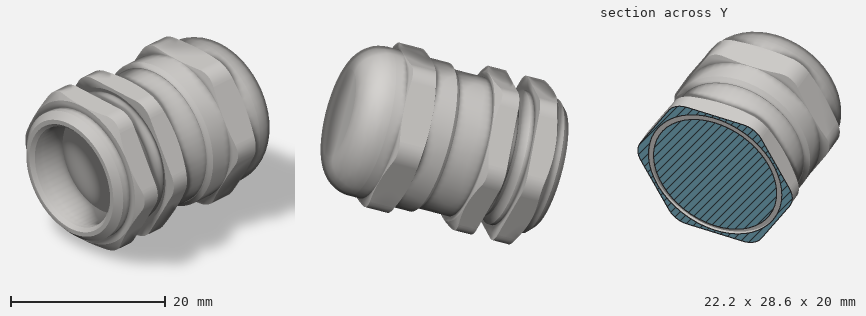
import cadquery as cq
import math

TOTAL_LENGTH = 28.65

HEX_ACROSS_FLATS = 20.0
HEX_CORNER_RADIUS = 3.0
HEX_FACE_DIAMETER = 19.9
LOCKNUT_START = 2.1
COLLAR_START = 8.0
NUT_THICKNESS = 3.0
CAP_HEX_START = 19.15
CAP_HEX_THICKNESS = 4.0
NUT_CHAMFER_ANGLE = 30.0
CAP_CHAMFER_ANGLE = 20.0

THREAD_RADIUS = 18.0 / 2
END_FACE_RADIUS = 16.2 / 2
END_CHAMFER = THREAD_RADIUS - END_FACE_RADIUS
GROOVE_DEPTH = END_CHAMFER
GROOVE_RADIUS = THREAD_RADIUS - GROOVE_DEPTH
GROOVE_CONE_START = 5.62
GROOVE_FLOOR_START = GROOVE_CONE_START + GROOVE_DEPTH
SEAL_START = 6.95
SEAL_END = SEAL_START + 2 * GROOVE_DEPTH
RECESS_RADIUS = 9.5

BODY_RADIUS = 18.6 / 2
CAP_RADIUS = 19.9 / 2
CAP_START = 15.59
CAP_CHAMFER = 0.57
DOME_RADIUS = 4.0

BORE_RADIUS = 14.0 / 2
BORE_DEPTH = 5.5
BORE_CHAMFER = 0.5


def turned_body():
    """Revolve the half-section of all round portions about the Y axis."""
    dome_start = TOTAL_LENGTH - DOME_RADIUS
    dome_arc = DOME_RADIUS * math.sqrt(0.5)
    section = (
        cq.Workplane("XY")
        .lineTo(END_FACE_RADIUS, 0)
        .lineTo(THREAD_RADIUS, END_CHAMFER)
        .lineTo(THREAD_RADIUS, GROOVE_CONE_START)
        .lineTo(GROOVE_RADIUS, GROOVE_FLOOR_START)
        .lineTo(GROOVE_RADIUS, SEAL_START)
        .threePointArc((THREAD_RADIUS, SEAL_START + GROOVE_DEPTH), (GROOVE_RADIUS, SEAL_END))
        .lineTo(BODY_RADIUS, SEAL_END)
        .lineTo(BODY_RADIUS, CAP_START)
        .lineTo(CAP_RADIUS - CAP_CHAMFER, CAP_START)
        .lineTo(CAP_RADIUS, CAP_START + CAP_CHAMFER)
        .lineTo(CAP_RADIUS, dome_start)
        .threePointArc(
            (CAP_RADIUS - DOME_RADIUS + dome_arc, dome_start + dome_arc),
            (CAP_RADIUS - DOME_RADIUS, TOTAL_LENGTH),
        )
        .lineTo(0, TOTAL_LENGTH)
        .close()
    )
    return section.revolve(360, (0, 0, 0), (0, 1, 0))


def hexagon(start, thickness, chamfer_angle, chamfer_start=False, chamfer_end=False):
    """Rounded hexagon with flats facing +/-Z and conical chamfers on the chosen faces."""
    across_corners = HEX_ACROSS_FLATS / math.cos(math.radians(30))
    prism = (
        cq.Workplane("XZ", origin=(0, start, 0))
        .polygon(6, across_corners)
        .extrude(-thickness)
        .edges("|Y")
        .fillet(HEX_CORNER_RADIUS)
    )
    outer_radius = across_corners / 2
    face_radius = HEX_FACE_DIAMETER / 2
    drop = (outer_radius - face_radius) * math.tan(math.radians(chamfer_angle))
    end = start + thickness
    envelope = cq.Workplane("XY").moveTo(0, start)
    if chamfer_start:
        envelope = envelope.lineTo(face_radius, start).lineTo(outer_radius, start + drop)
    else:
        envelope = envelope.lineTo(outer_radius, start)
    if chamfer_end:
        envelope = envelope.lineTo(outer_radius, end - drop).lineTo(face_radius, end)
    else:
        envelope = envelope.lineTo(outer_radius, end)
    envelope = envelope.lineTo(0, end).close().revolve(360, (0, 0, 0), (0, 1, 0))
    return prism.intersect(envelope)


def bore():
    """Blind bore with a chamfered mouth."""
    return (
        cq.Workplane("XY")
        .lineTo(BORE_RADIUS + BORE_CHAMFER, 0)
        .lineTo(BORE_RADIUS, BORE_CHAMFER)
        .lineTo(BORE_RADIUS, BORE_DEPTH)
        .lineTo(0, BORE_DEPTH)
        .close()
        .revolve(360, (0, 0, 0), (0, 1, 0))
    )


locknut = hexagon(LOCKNUT_START, NUT_THICKNESS, NUT_CHAMFER_ANGLE, chamfer_start=True)
collar = hexagon(COLLAR_START, NUT_THICKNESS, NUT_CHAMFER_ANGLE, chamfer_end=True)
recess = (
    cq.Workplane("XZ", origin=(0, COLLAR_START, 0))
    .circle(RECESS_RADIUS)
    .extrude(COLLAR_START - SEAL_END)
)
collar = collar.cut(recess)
cap_hex = hexagon(
    CAP_HEX_START, CAP_HEX_THICKNESS, CAP_CHAMFER_ANGLE, chamfer_start=True, chamfer_end=True
)

result = turned_body().union(locknut).union(collar).union(cap_hex).cut(bore())